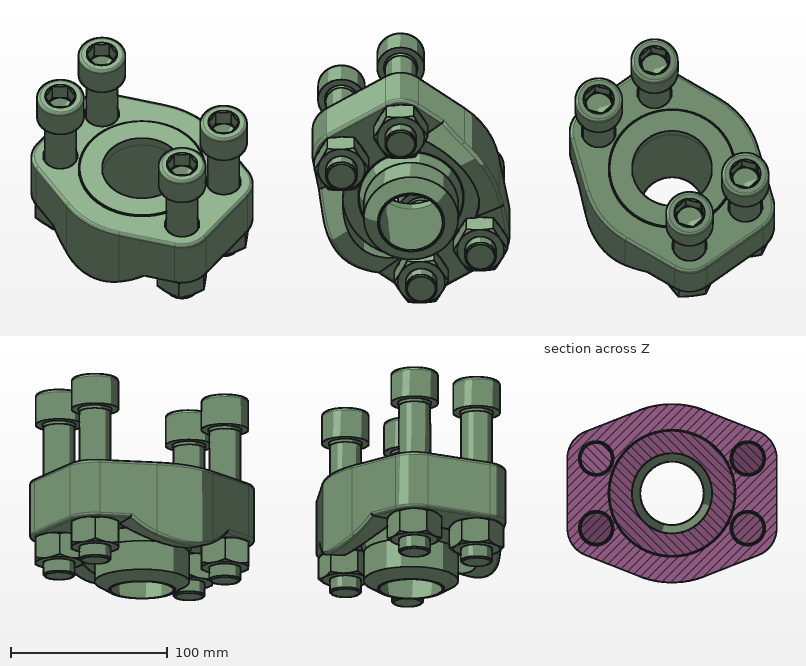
import cadquery as cq
import math


flange_length = 134.0
flange_width = 114.0
flange_thickness = 37.1
bolt_x = 48.4
bolt_y = 22.2
edge_fillet = 2.0
bolt_hole_diameter = 22.0
lobe_radius = 52.3
lobe_depth = 52.8
lobe_tilt = 6.5
underside_relief_diameter = 87.1

head_diameter = 80.1
head_rim_diameter = 79.5
head_bore_diameter = 81.0
head_seat_depth = 17.4
insert_rise = 0.5
collar_diameter = 66.3
collar_bore_diameter = 67.5
collar_bottom = -45.3
spigot_diameter = 60.3
insert_bottom = -69.5
spigot_bevel_height = 5.4
spigot_end_diameter = 42.6
entry_diameter = 51.0
entry_depth = 6.0
exit_diameter = 40.3

shank_diameter = 20.0
screw_length = 100.0
screw_head_diameter = 30.0
screw_head_height = 20.0
screw_head_bottom = 37.9
screw_head_fillet = 1.9
neck_diameter = 21.6
neck_height = 1.9
tip_diameter = 18.0
tip_height = 1.0
socket_flats = 17.0
socket_mouth_diameter = 19.5
socket_mouth_angle = 30.0
socket_depth = 11.4
socket_turn = 37.5
socket_cone_angle = 120.0

nut_flats = 30.0
nut_height = 16.2
nut_chamfer_angle = 30.0

corner_radius = flange_length / 2 - bolt_x
end_radius = flange_width / 2
nut_corners = nut_flats / math.cos(math.pi / 6)
socket_corners = socket_flats / math.cos(math.pi / 6)
head_chamfer = (head_diameter - head_rim_diameter) / 2
screw_head_top = screw_head_bottom + screw_head_height
screw_tip = screw_head_bottom - screw_length
bolt_places = [(sx * bolt_x, sy * bolt_y) for sx in (-1, 1) for sy in (-1, 1)]


def cylinder(diameter, bottom, top):
    return cq.Workplane("XY", origin=(0, 0, bottom)).circle(diameter / 2).extrude(top - bottom)


def turned(profile):
    """Revolve a list of (radius, z) points about Z."""
    return cq.Workplane("XZ").polyline(profile).close().revolve(360, (0, 0), (0, 1))


def flange_blank(depth):
    """Outline: corner arcs about the bolts, end arcs about the centre, joined by tangents."""
    bolt_angle = math.atan2(bolt_y, bolt_x)
    bolt_distance = math.hypot(bolt_x, bolt_y)
    tangent = bolt_angle + math.acos((end_radius - corner_radius) / bolt_distance)
    middle = tangent / 2
    across, along = math.cos(tangent), math.sin(tangent)
    half_length = flange_length / 2

    def corner(sx, sy, angle):
        return (sx * (bolt_x + corner_radius * math.cos(angle)),
                sy * (bolt_y + corner_radius * math.sin(angle)))

    outline = (
        cq.Workplane("XY")
        .moveTo(half_length, -bolt_y)
        .lineTo(half_length, bolt_y)
        .threePointArc(corner(1, 1, middle), corner(1, 1, tangent))
        .lineTo(end_radius * across, end_radius * along)
        .threePointArc((0, end_radius), (-end_radius * across, end_radius * along))
        .lineTo(*corner(-1, 1, tangent))
        .threePointArc(corner(-1, 1, middle), (-half_length, bolt_y))
        .lineTo(-half_length, -bolt_y)
        .threePointArc(corner(-1, -1, middle), corner(-1, -1, tangent))
        .lineTo(-end_radius * across, -end_radius * along)
        .threePointArc((0, -end_radius), (end_radius * across, -end_radius * along))
        .lineTo(*corner(1, -1, tangent))
        .threePointArc(corner(1, -1, middle), (half_length, -bolt_y))
        .close()
    )
    return outline.extrude(-depth)


def lobe_cylinder():
    """Tilted cylinder whose lowest line bounds the lobe at the +Y end."""
    return (
        cq.Workplane("XZ")
        .circle(lobe_radius)
        .extrude(-flange_width)
        .translate((0, -end_radius, lobe_radius - lobe_depth))
        .rotate((0, 0, -lobe_depth), (1, 0, -lobe_depth), -lobe_tilt)
        .translate((0, end_radius, 0))
    )


def is_rim_edge(edge):
    """True for the non-vertical edges that run along the outline, above and below."""
    start, end = edge.startPoint(), edge.endPoint()
    is_vertical = math.hypot(end.x - start.x, end.y - start.y) < edge_fillet
    between_relief_and_outline = (underside_relief_diameter / 2 + end_radius) / 2
    on_outline = all(math.hypot(p.x, p.y) > between_relief_and_outline for p in (start, end))
    return on_outline and not is_vertical


def make_flange():
    """Plate with a rounded lobe hanging from each Y end, bored for the insert and the bolts."""
    body = flange_blank(flange_thickness)
    positive_y_half = cq.Workplane("XY").box(
        2 * flange_length, flange_width, 4 * lobe_depth, centered=(True, False, True))
    lobe = flange_blank(2 * lobe_depth).intersect(lobe_cylinder()).intersect(positive_y_half)
    body = body.union(lobe).union(lobe.mirror("XZ"))
    body = body.cut(cylinder(underside_relief_diameter, -2 * lobe_depth, -flange_thickness))

    rim_edges = [edge for edge in body.edges().vals() if is_rim_edge(edge)]
    body = body.newObject(rim_edges).fillet(edge_fillet)

    body = body.cut(cylinder(head_bore_diameter, -head_seat_depth, 0))
    body = body.cut(cylinder(collar_bore_diameter, -flange_thickness, 0))
    bolt_holes = (
        cq.Workplane("XY")
        .pushPoints(bolt_places)
        .circle(bolt_hole_diameter / 2)
        .extrude(-flange_thickness)
    )
    return body.cut(bolt_holes)


def make_insert():
    """Sleeve with a chamfered head, a tapered collar end, a bevelled tip and a narrowing bore."""
    return turned([
        (entry_diameter / 2, insert_rise),
        (head_rim_diameter / 2, insert_rise),
        (head_diameter / 2, insert_rise - head_chamfer),
        (head_diameter / 2, -head_seat_depth),
        (collar_diameter / 2, -head_seat_depth),
        (collar_diameter / 2, -flange_thickness),
        (spigot_diameter / 2, collar_bottom),
        (spigot_diameter / 2, insert_bottom + spigot_bevel_height),
        (spigot_end_diameter / 2, insert_bottom),
        (exit_diameter / 2, insert_bottom),
        (entry_diameter / 2, -entry_depth),
    ])


def make_screw():
    """Socket head cap screw on the Z axis."""
    shank = turned([
        (0, screw_head_bottom),
        (neck_diameter / 2, screw_head_bottom),
        (shank_diameter / 2, screw_head_bottom - neck_height),
        (shank_diameter / 2, screw_tip + tip_height),
        (tip_diameter / 2, screw_tip),
        (0, screw_tip),
    ])
    head = cylinder(screw_head_diameter, screw_head_bottom, screw_head_top)
    head = head.faces(">Z").edges().fillet(screw_head_fillet)

    half_cone = math.radians(socket_cone_angle / 2)
    socket_floor = screw_head_top - socket_depth
    socket = (
        cq.Workplane("XY", origin=(0, 0, socket_floor))
        .polygon(6, socket_corners)
        .extrude(socket_depth)
        .rotate((0, 0, 0), (0, 0, 1), socket_turn)
    )
    floor_cone = turned([
        (0, socket_floor),
        (socket_flats / 2, socket_floor),
        (0, socket_floor - socket_flats / 2 / math.tan(half_cone)),
    ])
    mouth_width = (socket_mouth_diameter - socket_flats) / 2
    mouth_depth = mouth_width * math.tan(math.radians(socket_mouth_angle))
    mouth = turned([
        (0, screw_head_top),
        (socket_mouth_diameter / 2, screw_head_top),
        (socket_flats / 2, screw_head_top - mouth_depth),
        (0, screw_head_top - mouth_depth),
    ])
    return shank.union(head).cut(socket).cut(floor_cone).cut(mouth)


def make_nut():
    """Hexagon with both ends turned to a cone, corners along X, against the flange."""
    top = -flange_thickness
    bottom = top - nut_height
    chamfer_height = (nut_corners - nut_flats) / 2 * math.tan(math.radians(nut_chamfer_angle))
    hexagon = cq.Workplane("XY", origin=(0, 0, bottom)).polygon(6, nut_corners).extrude(nut_height)
    envelope = turned([
        (0, top),
        (nut_flats / 2, top),
        (nut_corners / 2, top - chamfer_height),
        (nut_corners / 2, bottom + chamfer_height),
        (nut_flats / 2, bottom),
        (0, bottom),
    ])
    return hexagon.intersect(envelope).cut(cylinder(shank_diameter, bottom, top))


flange = make_flange()
insert = make_insert()
screw = make_screw()
nut = make_nut()
screws = [screw.translate((x, y, 0)) for x, y in bolt_places]
nuts = [nut.translate((x, y, 0)) for x, y in bolt_places]

result = cq.Compound.makeCompound([
    flange.val(),
    insert.val(),
    *[body.val() for body in screws],
    *[body.val() for body in nuts],
])